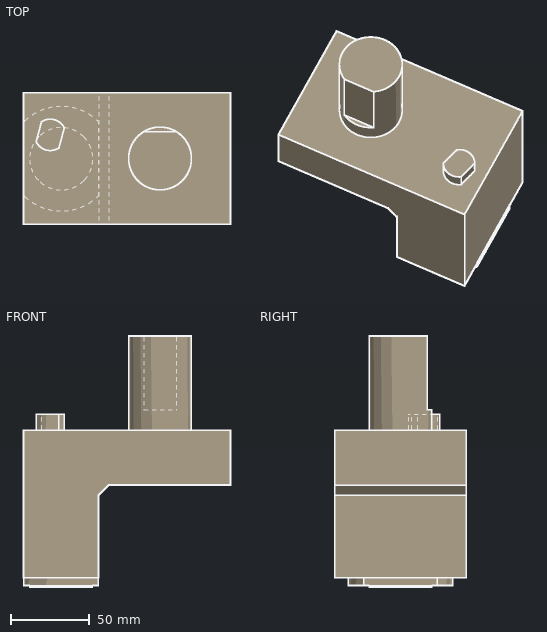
import cadquery as cq

body_length = 132.0
body_width = 84.0
body_height = 94.0
arm_thickness = 35.0
leg_length = 48.0
inner_chamfer = 6.4

total_height = 160.0
shaft_diameter = 40.0
shaft_height = 60.0
shaft_x = 87.0
shaft_flat_offset = 17.1
shaft_flat_start = 13.0

key_diameter = 20.0
key_flat_width = 15.0
key_height = 10.0
key_x = 17.1
key_y = 15.0
key_angle = -15.0

flange_diameter = 66.9
flange_flat_width = 47.5
flange_thickness = 5.0
pad_diameter = 40.0
pad_thickness = total_height - shaft_height - body_height - flange_thickness
leg_center_x = leg_length / 2


def two_flat_disc(diameter, flat_width, height):
    """Disc standing on Z = 0 with two parallel flats facing -X and +X."""
    disc = cq.Workplane("XY").circle(diameter / 2).extrude(height)
    slab = cq.Workplane("XY").rect(flat_width, diameter).extrude(height)
    return disc.intersect(slab)


def make_body():
    """L-shaped block with a small chamfer filling the inner corner."""
    return (
        cq.Workplane("XZ")
        .polyline([
            (0, 0),
            (body_length, 0),
            (body_length, -arm_thickness),
            (leg_length + inner_chamfer, -arm_thickness),
            (leg_length, -arm_thickness - inner_chamfer),
            (leg_length, -body_height),
            (0, -body_height),
        ])
        .close()
        .extrude(body_width / 2, both=True)
    )


def make_shaft():
    """Upright shaft with a flat on its +Y side above a short round base."""
    shaft = cq.Workplane("XY").circle(shaft_diameter / 2).extrude(shaft_height)
    flat_cut = (
        cq.Workplane("XY", origin=(0, shaft_flat_offset, shaft_flat_start))
        .rect(shaft_diameter, shaft_diameter)
        .extrude(shaft_height)
        .translate((0, shaft_diameter / 2, 0))
    )
    return shaft.cut(flat_cut).translate((shaft_x, 0, 0))


def make_key():
    """Locating pin with two flats, turned about its own axis."""
    key = two_flat_disc(key_diameter, key_flat_width, key_height)
    return key.rotate((0, 0, 0), (0, 0, 1), key_angle).translate((key_x, key_y, 0))


def make_foot():
    """Flange with two flats and a thin round pad, below the leg."""
    flange_bottom = -body_height - flange_thickness
    flange = two_flat_disc(flange_diameter, flange_flat_width, flange_thickness)
    flange = flange.translate((leg_center_x, 0, flange_bottom))
    pad = (
        cq.Workplane("XY", origin=(leg_center_x, 0, flange_bottom))
        .circle(pad_diameter / 2)
        .extrude(-pad_thickness)
    )
    return flange.union(pad)


result = make_body().union(make_shaft()).union(make_key()).union(make_foot())